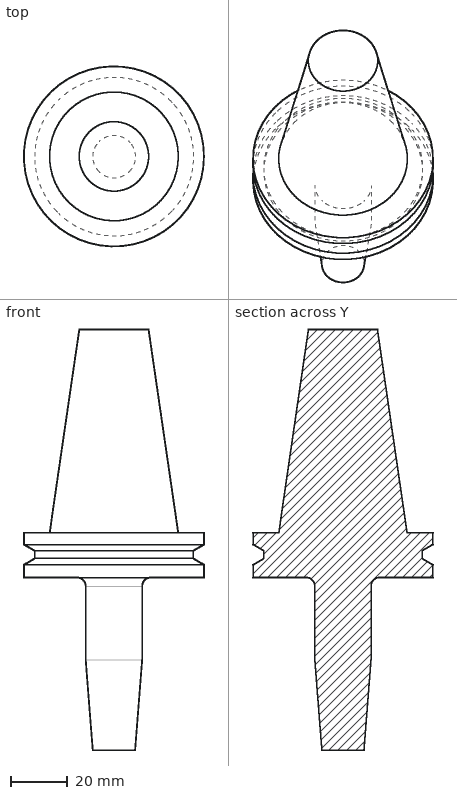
import cadquery as cq
import math


gauge_diameter = 44.45
taper_ratio = 7 / 24
taper_length = 68.4
taper_end_diameter = gauge_diameter - taper_length * taper_ratio

flange_diameter = 63.55
flange_top = -3.2
taper_base_diameter = gauge_diameter - flange_top * taper_ratio
flange_bottom = -19.1
groove_diameter = 56.0
groove_centre = -11.0
groove_floor_width = 2.7
groove_flank_angle = 60.0

nose_length = 80.0
nose_diameter = 20.0
nose_end_diameter = 15.0
nose_taper_length = 32.0
flange_fillet = 3.0


def revolve_about_z(section):
    """Turn a closed section in the XZ plane once around the Z axis."""
    return section.revolve(360, (0, 0, 0), (0, 1, 0))


def flange_groove():
    """Ring with a trapezoid section that is cut from the flange rim."""
    floor_radius = groove_diameter / 2
    rim_radius = flange_diameter / 2
    half_floor = groove_floor_width / 2
    flank_rise = (rim_radius - floor_radius) / math.tan(math.radians(groove_flank_angle))
    half_mouth = half_floor + flank_rise
    section = (
        cq.Workplane("XZ")
        .moveTo(floor_radius, groove_centre - half_floor)
        .lineTo(rim_radius, groove_centre - half_mouth)
        .lineTo(rim_radius, groove_centre + half_mouth)
        .lineTo(floor_radius, groove_centre + half_floor)
        .close()
    )
    return revolve_about_z(section)


def holder_body():
    """Taper shank, plain flange and tapered nose turned in one piece."""
    nose_radius = nose_diameter / 2
    fillet_outer_radius = nose_radius + flange_fillet
    fillet_bottom = flange_bottom - flange_fillet
    fillet_mid_offset = flange_fillet * (1 - math.cos(math.radians(45)))
    section = (
        cq.Workplane("XZ")
        .moveTo(0, -nose_length)
        .lineTo(nose_end_diameter / 2, -nose_length)
        .lineTo(nose_radius, -nose_length + nose_taper_length)
        .lineTo(nose_radius, fillet_bottom)
        .threePointArc(
            (nose_radius + fillet_mid_offset, flange_bottom - fillet_mid_offset),
            (fillet_outer_radius, flange_bottom),
        )
        .lineTo(flange_diameter / 2, flange_bottom)
        .lineTo(flange_diameter / 2, flange_top)
        .lineTo(taper_base_diameter / 2, flange_top)
        .lineTo(taper_end_diameter / 2, taper_length)
        .lineTo(0, taper_length)
        .close()
    )
    return revolve_about_z(section)


result = holder_body().cut(flange_groove())